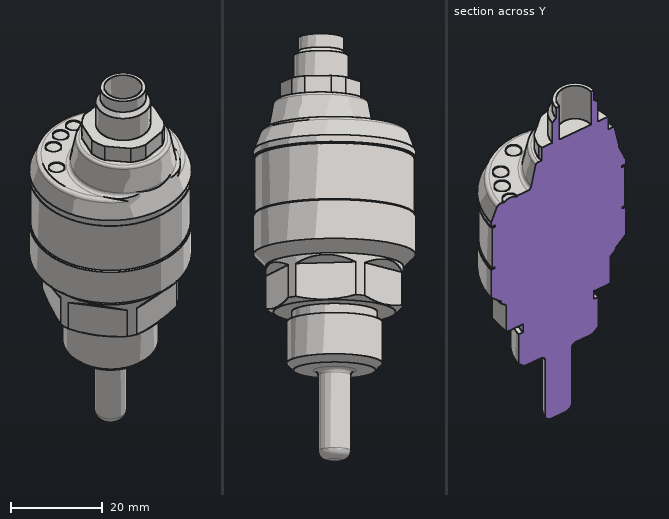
import cadquery as cq
import math

TIP_START = 2.1
PROBE_TOP = 20.0
THREAD_CHAMFER = 1.5
THREAD_TOP = 30.65
NUT_BOTTOM = 32.9
NUT_CHAMFER_HEIGHT = 0.9
NUT_FLAT_TOP = 41.15
NUT_TOP = 43.0
COLLAR_BOTTOM = 45.7
COLLAR_TOP = 54.3
RIM_BOTTOM = 67.3
RIM_TOP = 68.8
CAP_TOP = 73.3
BOSS_TOP = 80.6
PLUG_TOP = 94.6

PROBE_RADIUS = 7.2 / 2
TIP_FLAT_RADIUS = 3.5 / 2
PROBE_ROOT_FILLET = 1.0
THREAD_RADIUS = 21.0 / 2
NECK_RADIUS = 18.7 / 2

NUT_RADIUS = 30.1 / 2
NUT_ACROSS_FLATS = 27.1
NUT_END_RADIUS = 13.3
NUT_TURN = 9.0

BODY_RADIUS = 35.5 / 2
SLEEVE_RADIUS = 34.9 / 2
LOWER_GROOVE_RADIUS = 33.5 / 2
UPPER_GROOVE_RADIUS = 33.3 / 2
GROOVE_WIDTH = 0.3
CAP_RADIUS = 16.0
CAP_FILLET = 1.1

PLUG_OFFSET = 4.35
BOSS_BASE_RADIUS = 11.5
BOSS_TOP_RADIUS = 10.3
BOSS_TOP_FILLET = 0.8
BOSS_ROOT_FILLET = 0.9
PLUG_NUT_RADIUS = 18.0 / 2
PLUG_NUT_ACROSS_FLATS = 17.0
PLUG_NUT_HEIGHT = 3.9
PLUG_NUT_TURN = 13.0
PLUG_RADIUS = 12.0 / 2
PLUG_NOSE_RADIUS = 10.0 / 2
PLUG_NOSE_LENGTH = 3.0
SOCKET_RADIUS = 8.2 / 2

LAMP_RADIUS = 3.5 / 2
LAMP_HEIGHT = 0.4
LAMP_RECESS = 0.3
LAMP_RING_RADIUS = 12.7
LAMP_ANGLES = (-73, -40, -20, 0, 20, 40, 73)

HEX_SIDES = 6

MID_ARC = math.sqrt(0.5)


def cylinder(radius, bottom, top):
    return cq.Workplane("XY", origin=(0, 0, bottom)).circle(radius).extrude(top - bottom)


def hexagon(across_flats, turn, bottom, top):
    """Hexagonal prism with one flat facing +X before it is turned about Z."""
    corner_diameter = across_flats / math.cos(math.pi / HEX_SIDES)
    prism = cq.Workplane("XY").polygon(HEX_SIDES, corner_diameter).extrude(top - bottom)
    return prism.rotate((0, 0, 0), (0, 0, 1), turn + 180 / HEX_SIDES).translate((0, 0, bottom))


def make_probe_and_thread():
    thread_end_radius = THREAD_RADIUS - THREAD_CHAMFER
    root_start = PROBE_TOP - PROBE_ROOT_FILLET
    tip_width = PROBE_RADIUS - TIP_FLAT_RADIUS
    tip_mid = (TIP_FLAT_RADIUS + tip_width * MID_ARC, TIP_START * (1 - MID_ARC))
    root_mid = (
        PROBE_RADIUS + PROBE_ROOT_FILLET * (1 - MID_ARC),
        root_start + PROBE_ROOT_FILLET * MID_ARC,
    )
    return (
        cq.Workplane("XZ")
        .lineTo(TIP_FLAT_RADIUS, 0)
        .threePointArc(tip_mid, (PROBE_RADIUS, TIP_START))
        .lineTo(PROBE_RADIUS, root_start)
        .threePointArc(root_mid, (PROBE_RADIUS + PROBE_ROOT_FILLET, PROBE_TOP))
        .lineTo(thread_end_radius, PROBE_TOP)
        .lineTo(THREAD_RADIUS, PROBE_TOP + THREAD_CHAMFER)
        .lineTo(THREAD_RADIUS, THREAD_TOP)
        .lineTo(NECK_RADIUS, THREAD_TOP)
        .lineTo(NECK_RADIUS, NUT_BOTTOM)
        .lineTo(0, NUT_BOTTOM)
        .close()
        .revolve(360, (0, 0, 0), (0, 1, 0))
    )


def make_nut():
    """Chamfered round blank with six flats that run out upwards at 45 degrees."""
    apothem = NUT_ACROSS_FLATS / 2
    blank = (
        cq.Workplane("XZ", origin=(0, 0, NUT_BOTTOM))
        .lineTo(NUT_END_RADIUS, 0)
        .lineTo(NUT_RADIUS, NUT_CHAMFER_HEIGHT)
        .lineTo(NUT_RADIUS, NUT_TOP - NUT_BOTTOM)
        .lineTo(0, NUT_TOP - NUT_BOTTOM)
        .close()
        .revolve(360, (0, 0, 0), (0, 1, 0))
    )
    cut_depth = NUT_RADIUS
    flat_cutter = (
        cq.Workplane("XZ")
        .moveTo(apothem, 0)
        .lineTo(apothem, NUT_FLAT_TOP)
        .lineTo(apothem + cut_depth, NUT_FLAT_TOP + cut_depth)
        .lineTo(apothem + cut_depth, 0)
        .close()
        .extrude(NUT_RADIUS, both=True)
    )
    for side in range(HEX_SIDES):
        turn = NUT_TURN + side * 360 / HEX_SIDES
        blank = blank.cut(flat_cutter.rotate((0, 0, 0), (0, 0, 1), turn))
    return blank


def make_body():
    """Collar, sleeve and cap, with a fine groove at each end of the sleeve."""
    body = (
        cq.Workplane("XZ")
        .moveTo(0, NUT_TOP)
        .lineTo(NUT_RADIUS, NUT_TOP)
        .lineTo(BODY_RADIUS, COLLAR_BOTTOM)
        .lineTo(BODY_RADIUS, COLLAR_TOP)
        .lineTo(LOWER_GROOVE_RADIUS, COLLAR_TOP)
        .lineTo(LOWER_GROOVE_RADIUS, COLLAR_TOP + GROOVE_WIDTH)
        .lineTo(SLEEVE_RADIUS, COLLAR_TOP + GROOVE_WIDTH)
        .lineTo(SLEEVE_RADIUS, RIM_BOTTOM - GROOVE_WIDTH)
        .lineTo(UPPER_GROOVE_RADIUS, RIM_BOTTOM - GROOVE_WIDTH)
        .lineTo(UPPER_GROOVE_RADIUS, RIM_BOTTOM)
        .lineTo(BODY_RADIUS, RIM_BOTTOM)
        .lineTo(BODY_RADIUS, RIM_TOP)
        .lineTo(CAP_RADIUS, CAP_TOP)
        .lineTo(0, CAP_TOP)
        .close()
        .revolve(360, (0, 0, 0), (0, 1, 0))
    )
    return body.faces(">Z").edges().fillet(CAP_FILLET)


def make_boss():
    """Tapered boss that drops straight into the cap below its flared foot."""
    boss = (
        cq.Workplane("XZ")
        .moveTo(0, RIM_TOP)
        .lineTo(BOSS_BASE_RADIUS, RIM_TOP)
        .lineTo(BOSS_BASE_RADIUS, CAP_TOP + BOSS_ROOT_FILLET)
        .lineTo(BOSS_TOP_RADIUS, BOSS_TOP)
        .lineTo(0, BOSS_TOP)
        .close()
        .revolve(360, (0, 0, 0), (0, 1, 0))
    )
    return boss.faces(">Z").edges().fillet(BOSS_TOP_FILLET).translate((PLUG_OFFSET, 0, 0))


def make_boss_foot():
    """Concave flare around the boss, trimmed where it reaches the sloping side of the cap."""
    foot_radius = BOSS_BASE_RADIUS + BOSS_ROOT_FILLET
    foot_top = CAP_TOP + BOSS_ROOT_FILLET
    foot_mid = (
        foot_radius - BOSS_ROOT_FILLET * MID_ARC,
        foot_top - BOSS_ROOT_FILLET * MID_ARC,
    )
    flare = (
        cq.Workplane("XZ")
        .moveTo(0, RIM_TOP)
        .lineTo(foot_radius, RIM_TOP)
        .lineTo(foot_radius, CAP_TOP)
        .threePointArc(foot_mid, (BOSS_BASE_RADIUS, foot_top))
        .lineTo(0, foot_top)
        .close()
        .revolve(360, (0, 0, 0), (0, 1, 0))
        .translate((PLUG_OFFSET, 0, 0))
    )
    slope = (BODY_RADIUS - CAP_RADIUS) / (CAP_TOP - RIM_TOP)
    trim_height = foot_top - RIM_TOP
    trim_cone = (
        cq.Workplane("XY", origin=(0, 0, RIM_TOP))
        .circle(BODY_RADIUS)
        .workplane(offset=trim_height)
        .circle(BODY_RADIUS - slope * trim_height)
        .loft()
    )
    return flare.intersect(trim_cone)


def make_plug():
    nut_top = BOSS_TOP + PLUG_NUT_HEIGHT
    nose_bottom = PLUG_TOP - PLUG_NOSE_LENGTH
    nut = cylinder(PLUG_NUT_RADIUS, BOSS_TOP, nut_top).intersect(
        hexagon(PLUG_NUT_ACROSS_FLATS, PLUG_NUT_TURN, BOSS_TOP, nut_top)
    )
    barrel = cylinder(PLUG_RADIUS, nut_top, nose_bottom)
    barrel = barrel.faces(">Z").edges().chamfer(PLUG_RADIUS - PLUG_NOSE_RADIUS)
    nose = cylinder(PLUG_NOSE_RADIUS, nose_bottom, PLUG_TOP)
    socket = cylinder(SOCKET_RADIUS, nut_top, PLUG_TOP)
    return nut.union(barrel).union(nose).cut(socket).translate((PLUG_OFFSET, 0, 0))


def at_lamp(shape, angle):
    """Place a shape on the lamp ring, at an angle counted from -X."""
    return shape.translate((-LAMP_RING_RADIUS, 0, 0)).rotate((0, 0, 0), (0, 0, 1), angle)


def make_lamp():
    """Shallow spherical dome that rises from the floor of its recess."""
    floor = CAP_TOP - LAMP_RECESS
    rise = LAMP_RECESS + LAMP_HEIGHT
    sphere_radius = (LAMP_RADIUS**2 + rise**2) / (2 * rise)
    sphere = cq.Workplane("XY").sphere(sphere_radius).translate((0, 0, floor + rise - sphere_radius))
    return sphere.intersect(cylinder(LAMP_RADIUS, floor - LAMP_RECESS, floor + rise))


result = (
    make_probe_and_thread()
    .union(make_nut())
    .union(make_body())
    .union(make_boss_foot())
    .union(make_boss())
    .union(make_plug())
)
lamp = make_lamp()
lamp_recess = cylinder(LAMP_RADIUS, CAP_TOP - LAMP_RECESS, CAP_TOP)
for lamp_angle in LAMP_ANGLES:
    result = result.cut(at_lamp(lamp_recess, lamp_angle)).union(at_lamp(lamp, lamp_angle))